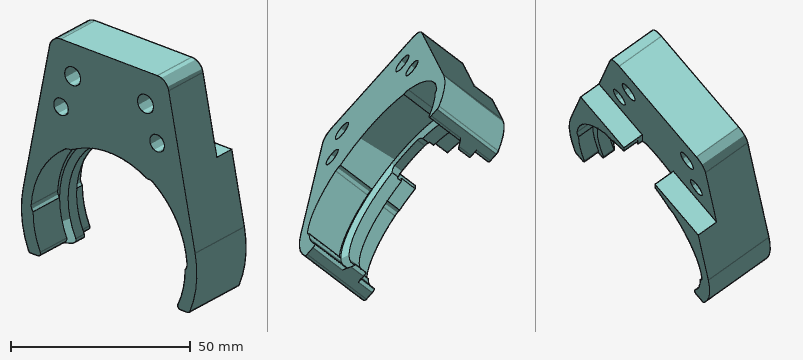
import cadquery as cq
import math

height = 70.25
depth = 21.35
outer_radius = 31.8

center_height = 13.1
top_half_width = 20.9
top_corner_radius = 4.2
plate_depth = 14.9
shoulder_height = 42.0
notch_width = 14.05

bore_radius = 27.55
rib_radius = 25.5
rib_cone_start = 11.45
rib_cone_length = 1.25
rib_crest_length = 3.65
rib_crest_start = rib_cone_start + rib_cone_length
rib_end = rib_crest_start + rib_crest_length
tip_radius = 1.0

relief_depth = 0.8
relief_corner_radius = 2.5
side_relief_start = -1.5
side_relief_span = 63.0
rib_relief_span = 34.0

upper_hole = (13.2, 60.05, 5.75)
lower_hole = (17.4, 49.2, 5.3)


def front_plane(y):
    """Workplane facing -Y at depth y, centered on the bore axis."""
    return cq.Workplane("XZ", origin=(0, y, center_height))


def polar(radius, angle):
    """Point on a circle about the bore axis, angle in degrees from +X."""
    return radius * math.cos(math.radians(angle)), radius * math.sin(math.radians(angle))


def make_body():
    """Outer outline: a flat top with sides running tangent into the round jaws."""
    top = height - center_height
    corner_distance = math.hypot(top_half_width, top)
    corner_angle = math.degrees(math.atan2(top, top_half_width))
    tangent_angle = corner_angle - math.degrees(math.acos(outer_radius / corner_distance))
    tangent_x, tangent_z = polar(outer_radius, tangent_angle)
    tip_x = math.sqrt(outer_radius**2 - center_height**2)
    body = (
        front_plane(0)
        .moveTo(-top_half_width, top)
        .lineTo(top_half_width, top)
        .lineTo(tangent_x, tangent_z)
        .threePointArc((outer_radius, 0), (tip_x, -center_height))
        .lineTo(-tip_x, -center_height)
        .threePointArc((-outer_radius, 0), (-tangent_x, tangent_z))
        .close()
        .extrude(-depth)
    )
    return body.edges("|Y and >Z").fillet(top_corner_radius)


def cut_back(body):
    """Thin the upper plate from behind and split the remaining back block."""
    back_depth = depth - plate_depth
    plate_step = cq.Workplane("XY").box(
        2 * outer_radius, back_depth, height - shoulder_height, centered=(True, False, False)
    ).translate((0, plate_depth, shoulder_height))
    notch = cq.Workplane("XY").box(
        notch_width, back_depth, height - center_height, centered=(True, False, False)
    ).translate((0, plate_depth, center_height))
    return body.cut(plate_step).cut(notch)


def make_bore():
    """Turned bore: straight, coned down to the rib crest, then stepped back out."""
    profile = (
        cq.Workplane("XY")
        .polyline([
            (0, 0),
            (bore_radius, 0),
            (bore_radius, rib_cone_start),
            (rib_radius, rib_crest_start),
            (rib_radius, rib_end),
            (bore_radius, rib_end),
            (bore_radius, depth),
            (0, depth),
        ])
        .close()
    )
    return profile.revolve(360, (0, 0), (0, 1)).translate((0, 0, center_height))


def make_relief(radius, start_angle, span, y_start, y_end):
    """Wedge about the bore axis whose two outer corners are rounded."""
    wedge = (
        front_plane(y_start)
        .lineTo(*polar(radius, start_angle))
        .threePointArc(
            polar(radius, start_angle + span / 2),
            polar(radius, start_angle + span),
        )
        .close()
        .extrude(y_start - y_end)
    )
    axis_edge = cq.selectors.NearestToPointSelector((0, (y_start + y_end) / 2, center_height))
    outer_corners = cq.StringSyntaxSelector("|Y") - axis_edge
    return wedge.edges(outer_corners).fillet(relief_corner_radius)


def cut_reliefs(body):
    """Relieve the bore on both sides of the rib, and the rib crest at the top."""
    for start_angle in (side_relief_start, 180 - side_relief_start - side_relief_span):
        for y_start, y_end in ((0, rib_cone_start), (rib_end, depth)):
            relief = make_relief(
                bore_radius + relief_depth, start_angle, side_relief_span, y_start, y_end
            )
            body = body.cut(relief)
    rib_relief = make_relief(
        rib_radius + relief_depth, 90 - rib_relief_span / 2, rib_relief_span, 0, depth
    )
    return body.cut(rib_relief)


def cut_holes(body):
    """Mirrored pairs of screw holes through the upper plate."""
    for x, z, diameter in (upper_hole, lower_hole):
        holes = (
            front_plane(0)
            .pushPoints([(-x, z - center_height), (x, z - center_height)])
            .circle(diameter / 2)
            .extrude(-depth)
        )
        body = body.cut(holes)
    return body


body = make_body().cut(make_bore())
body = body.faces("<Z").edges("|Y").fillet(tip_radius)
body = cut_back(body)
body = cut_reliefs(body)
result = cut_holes(body)